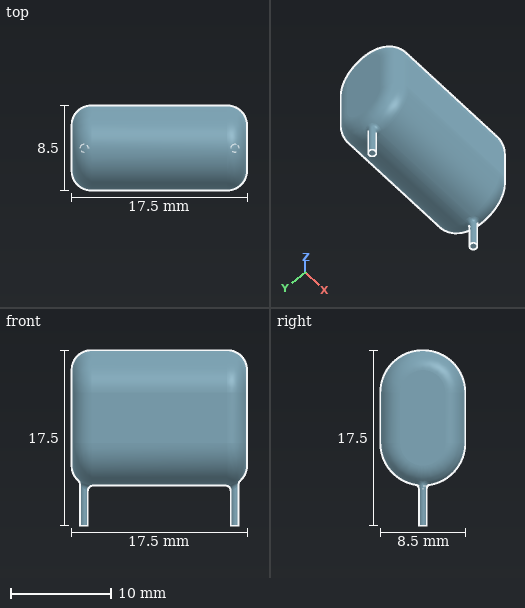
import cadquery as cq

body_length = 17.5
body_width = 8.5
flat_height = 5.0
end_rounding = 2.0
body_height = body_width + flat_height

total_height = 17.51
lead_pitch = 15.0
lead_diameter = 0.8
lead_fillet = 0.5
lead_length = total_height - body_height


def make_body():
    """Obround extruded along X, resting on Z = 0, with both end rims rounded."""
    bar = (
        cq.Workplane("YZ", origin=(0, 0, body_height / 2))
        .slot2D(body_height, body_width, 90)
        .extrude(body_length / 2, both=True)
    )
    return bar.faces("<X or >X").edges().fillet(end_rounding)


def make_lead(x):
    """Vertical lead whose upper end is buried in the body."""
    return (
        cq.Workplane("XY", origin=(x, 0, -lead_length))
        .circle(lead_diameter / 2)
        .extrude(lead_length + body_height / 2)
    )


result = make_body()
for lead_x in (-lead_pitch / 2, lead_pitch / 2):
    result = result.union(make_lead(lead_x))

result = result.edges("%BSPLINE").fillet(lead_fillet)